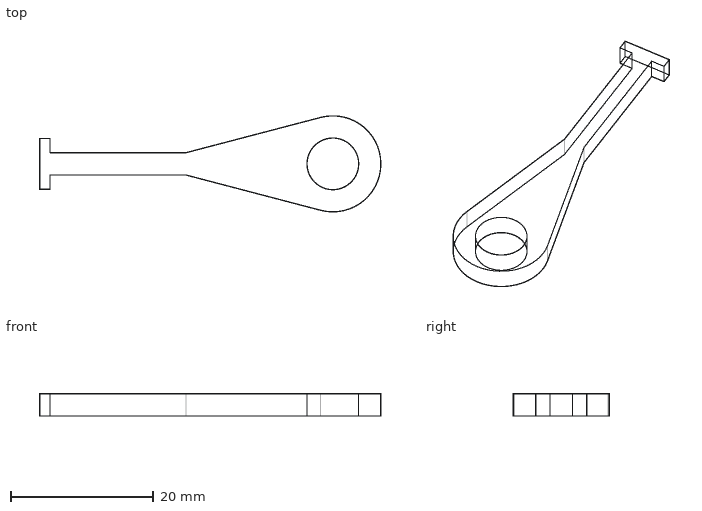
import cadquery as cq
import math

thickness = 3.17
overall_length = 48.04
eye_diameter = 13.54
hole_diameter = 7.24
stem_width = 3.17
crossbar_width = 7.16
crossbar_length = 1.5
stem_length = 19.1

eye_radius = eye_diameter / 2
half_stem = stem_width / 2
crossbar_start = eye_radius - overall_length
stem_start = crossbar_start + crossbar_length
taper_start = stem_start + stem_length

corner_distance = math.hypot(taper_start, half_stem)
corner_angle = math.atan2(half_stem, taper_start)
tangent_angle = corner_angle - math.acos(eye_radius / corner_distance)
tangent_x = eye_radius * math.cos(tangent_angle)
tangent_y = eye_radius * math.sin(tangent_angle)


def make_crossbar():
    """Bar across the free end of the stem."""
    return (
        cq.Workplane("XY")
        .moveTo(crossbar_start + crossbar_length / 2, 0)
        .rect(crossbar_length, crossbar_width)
        .extrude(thickness)
    )


def make_shank_and_eye():
    """Straight stem that widens tangentially into the round eye."""
    return (
        cq.Workplane("XY")
        .moveTo(stem_start, -half_stem)
        .lineTo(taper_start, -half_stem)
        .lineTo(tangent_x, -tangent_y)
        .threePointArc((eye_radius, 0), (tangent_x, tangent_y))
        .lineTo(taper_start, half_stem)
        .lineTo(stem_start, half_stem)
        .close()
        .extrude(thickness)
    )


def make_eye_hole():
    """Through hole concentric with the eye."""
    return cq.Workplane("XY").circle(hole_diameter / 2).extrude(thickness)


result = make_shank_and_eye().union(make_crossbar()).cut(make_eye_hole())